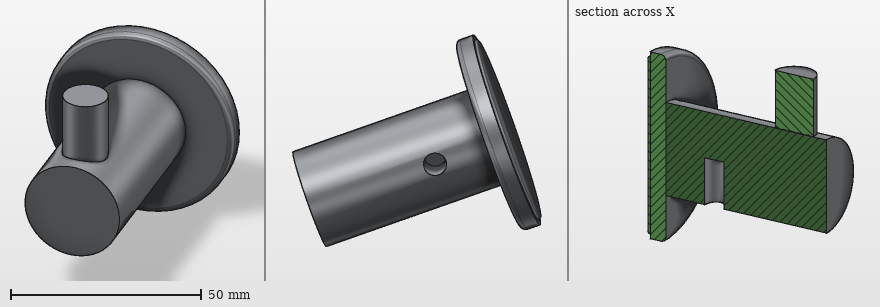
import cadquery as cq


total_height = 56.0
total_depth = 55.7

cover_diameter = 53.0
cover_thickness = 5.0
cover_rounding = 1.5

post_diameter = cover_diameter / 2
post_radius = post_diameter / 2
post_length = 50.0

plate_inset = 1.4
plate_diameter = cover_diameter - 2 * plate_inset
plate_thickness = total_depth - post_length - cover_thickness
plate_rounding = 0.55

peg_diameter = 12.0
peg_top = total_height - cover_diameter / 2
peg_to_free_end = 10.0

screw_hole_diameter = 6.0
screw_hole_to_cover = 15.0


def disc(diameter, thickness, front_y):
    """Disc about the Y axis, from front_y back towards the wall (+Y)."""
    plane = cq.Workplane("XZ", origin=(0, front_y, 0))
    return plane.circle(diameter / 2).extrude(-thickness)


def upright_rod(diameter, y, bottom, top):
    """Vertical cylinder centred on the post axis at the given y."""
    plane = cq.Workplane("XY", origin=(0, y, bottom))
    return plane.circle(diameter / 2).extrude(top - bottom)


def make_cover():
    """Round cover with a rounded front rim."""
    return disc(cover_diameter, cover_thickness, 0).faces("<Y").edges().fillet(cover_rounding)


def make_back_plate():
    """Thin plate behind the cover with a rounded wall-side rim."""
    plate = disc(plate_diameter, plate_thickness, cover_thickness)
    return plate.faces(">Y").edges().fillet(plate_rounding)


def make_post():
    """Round post with a blind screw hole that runs from its underside to its axis."""
    screw_hole = upright_rod(screw_hole_diameter, -screw_hole_to_cover, -post_radius, 0)
    return disc(post_diameter, post_length, -post_length).cut(screw_hole)


def make_peg():
    """Upright peg whose lower end is saddle-shaped to sit on the round post."""
    rod = upright_rod(peg_diameter, peg_to_free_end - post_length, 0, peg_top)
    return rod.cut(disc(post_diameter, post_length, -post_length))


cover = make_cover()
back_plate = make_back_plate()
post = make_post()
peg = make_peg()

bodies = [cover, back_plate, post, peg]
result = cq.Compound.makeCompound([body.solids().val() for body in bodies])